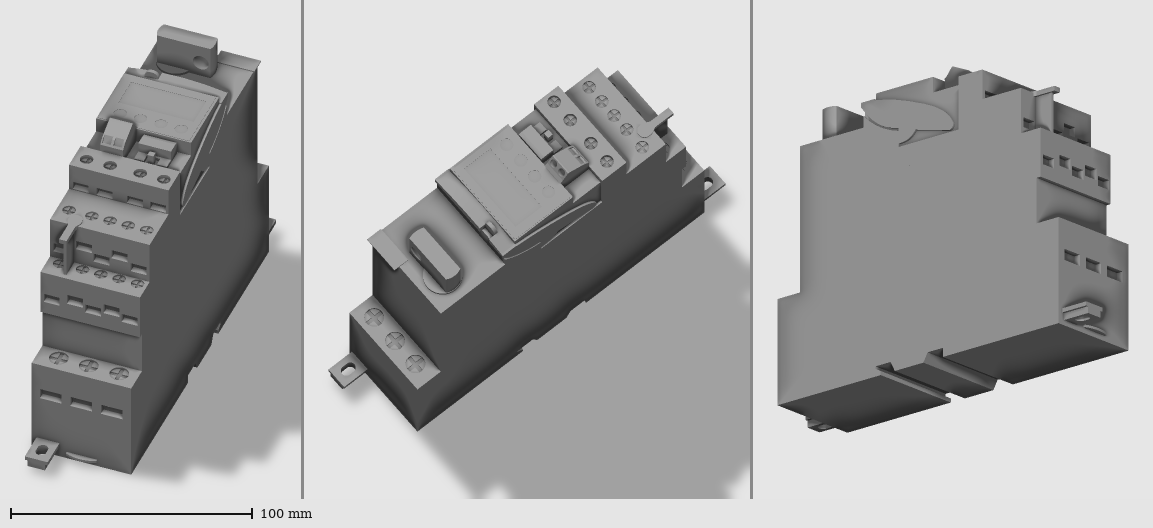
import cadquery as cq


WIDTH = 44.35
TOTAL_LENGTH = 179.5
TOTAL_HEIGHT = 130.61
EPS = 0.01

FOOT_FRONT_Y = 13.2
FOOT_REAR_Y = 166.9
FOOT_TOP_Z = 46.7
WALL_FRONT_Y = 25.2
WALL_REAR_Y = 154.4
BASE_TOP_Z = 111.0
SEAM_Z = 88.3

MODULE_FRONT_Y = 33.8
MODULE_REAR_Y = 119.9
LOW_TIER_Z = 108.3
HIGH_TIER_Y = 54.9
HIGH_TIER_Z = 121.3
SHELF_Y = 67.9
SHELF_Z = 118.0
DISPLAY_FRONT_Y = 82.7
DISPLAY_REAR_Y = 113.9
DISPLAY_TOP_Z = 125.1
BAIL_THICK = 1.05
BAIL_REAR_Y = 121.1
BAIL_CLEARANCE = 0.2
BAIL_EDGE_Z = 122.2
BAIL_CROWN_Z = 124.1
BAIL_UNDER_Z = 120.0
POCKET_FLOOR_Z = 98.0
POCKET_STEP_Y = 100.8

BLOCK_FRONT_Y = 23.0
BLOCK_BOTTOM_Z = 66.7


def box(x0, x1, y0, y1, z0, z1):
    """Box between opposite corners."""
    return cq.Workplane("XY").box(x1 - x0, y1 - y0, z1 - z0, centered=False).translate((x0, y0, z0))


def side_plane(x):
    """Sketch plane whose local axes are the part's Y and Z, extruding toward +X."""
    return cq.Workplane("YZ", origin=(x, 0, 0))


def side_prism(points, x0, x1):
    """Outline in Y and Z, extruded across the width from x0 to x1."""
    return side_plane(x0).polyline(points).close().extrude(x1 - x0)


def post(x, y, z0, z1, radius):
    """Upright cylinder."""
    return cq.Workplane("XY", origin=(x, y, z0)).circle(radius).extrude(z1 - z0)


def cut_screws(body, places, top_z, radius, slot_width, depth):
    """Sink round screw recesses into a top face, each with a cross slot in its floor."""
    for x, y in places:
        floor_z = top_z - depth
        slot_floor_z = floor_z - CROSS_SLOT_DEPTH
        body = body.cut(post(x, y, floor_z, top_z + EPS, radius))
        screw = post(x, y, slot_floor_z, floor_z, radius)
        half = slot_width / 2
        bars = box(x - half, x + half, y - radius, y + radius, slot_floor_z, floor_z)
        bars = bars.union(box(x - radius, x + radius, y - half, y + half, slot_floor_z, floor_z))
        body = body.cut(screw.intersect(bars))
    return body


def cut_windows(body, front_y, left_edges, width, z0, z1, depth):
    """Cut rectangular wire openings into a front face."""
    for x in left_edges:
        body = body.cut(box(x, x + width, front_y - EPS, front_y + depth, z0, z1))
    return body


CROSS_SLOT_DEPTH = 0.6
SMALL_SCREW_RADIUS = 2.8
SMALL_SLOT_WIDTH = 1.0
SMALL_SCREW_DEPTH = 0.8
HIGH_TIER_SCREW_DEPTH = 1.8
WINDOW_DEPTH = 3.0
WINDOW_WIDTH = 7.1


RAIL_HOOK = [(110.4, -EPS), (110.4, 1.8), (113.2, 3.4), (113.2, 4.5), (105.0, 4.5), (102.7, -EPS)]
RAIL_CLIP = [(87.1, -EPS), (84.8, 4.0), (76.5, 4.0), (76.5, -EPS)]
RAIL_LATCH = [(76.5, 0.6), (76.5, 4.0), (79.0, 4.0)]

MAIN_SCREW_X = (9.3, 22.6, 36.2)
MAIN_SCREW_Y = (20.2, 160.3)
MAIN_SCREW_RADIUS = 4.1
MAIN_SLOT_WIDTH = 1.7
MAIN_WINDOW_X = (3.7, 17.2, 30.8)
MAIN_WINDOW_WIDTH = 9.7
MAIN_WINDOW_Z = (28.8, 33.7)

TAB_WIDTH = 10.2
TAB_STEM_WIDTH = 7.7
TAB_X = (7.3, 37.5)
TAB_Z = (2.3, 5.3, 7.1)
TAB_SLOT_Y = 6.4
TAB_SLOT_LENGTH = 6.7
TAB_SLOT_WIDTH = 4.5

CLIP_X = (15.6, 29.2)
CLIP_Z = (2.3, 3.4)
CLIP_SHOULDER_Y = 12.2
CLIP_TIP_Y = 10.8

KNOB_X = 12.4
KNOB_Y = 143.2
KNOB_RADIUS = 8.2
KNOB_DISC_Z = 112.1
HANDLE_ROUND = 7.9
HANDLE_END_X = 29.3
HANDLE_BULGE = 0.7
HANDLE_Y = (139.4, 147.1)
HANDLE_TOP_Z = 126.7
HANDLE_HOLE_X = 25.0
HANDLE_HOLE_Z = 118.0
HANDLE_HOLE_RADIUS = 3.5

PLATE_X = (27.0, 44.8)
PLATE_Y = (149.6, 157.0)
PLATE_THICK = 0.5


def mounting_tab(body, x, end_y, wall_y):
    """Add one slotted T-section tab that runs out of the foot to end_y."""
    inward = 1 if wall_y > end_y else -1
    under_z, flange_z, top_z = TAB_Z
    tab_y = sorted((end_y, wall_y))
    tab = box(x - TAB_STEM_WIDTH / 2, x + TAB_STEM_WIDTH / 2, *tab_y, under_z, flange_z)
    tab = tab.union(box(x - TAB_WIDTH / 2, x + TAB_WIDTH / 2, *tab_y, flange_z, top_z))
    slot = (
        cq.Workplane("XY", origin=(x, end_y + inward * TAB_SLOT_Y, under_z))
        .slot2D(TAB_SLOT_LENGTH, TAB_SLOT_WIDTH, 90)
        .extrude(top_z - under_z)
    )
    return body.union(tab.cut(slot))


def rotary_knob():
    """Disc with an upright grip: one end rounded about the disc centre, the other bulges slightly."""
    disc = post(KNOB_X, KNOB_Y, BASE_TOP_Z, KNOB_DISC_Z, KNOB_RADIUS)
    y0, y1 = HANDLE_Y
    mid_y = (y0 + y1) / 2
    grip = (
        cq.Workplane("XY", origin=(0, 0, BASE_TOP_Z))
        .moveTo(KNOB_X, y0)
        .lineTo(HANDLE_END_X, y0)
        .threePointArc((HANDLE_END_X + HANDLE_BULGE, mid_y), (HANDLE_END_X, y1))
        .lineTo(KNOB_X - HANDLE_ROUND, y1)
        .lineTo(KNOB_X - HANDLE_ROUND, y0)
        .close()
        .extrude(HANDLE_TOP_Z - BASE_TOP_Z)
    )
    past_disc = box(KNOB_X, HANDLE_END_X + HANDLE_BULGE, y0, y1, BASE_TOP_Z, HANDLE_TOP_Z)
    rounded = post(KNOB_X, KNOB_Y, BASE_TOP_Z, HANDLE_TOP_Z, HANDLE_ROUND).union(past_disc)
    hole = (
        cq.Workplane("XZ", origin=(HANDLE_HOLE_X, y1, HANDLE_HOLE_Z))
        .circle(HANDLE_HOLE_RADIUS)
        .extrude(y1 - y0)
    )
    return disc.union(grip.intersect(rounded).cut(hole))


def rail_clip_tongue():
    """Thin round-ended tongue that sticks out of the front of the foot."""
    x0, x1 = CLIP_X
    return (
        cq.Workplane("XY", origin=(0, 0, CLIP_Z[0]))
        .moveTo(x0, FOOT_FRONT_Y)
        .lineTo(x0, CLIP_SHOULDER_Y)
        .threePointArc(((x0 + x1) / 2, CLIP_TIP_Y), (x1, CLIP_SHOULDER_Y))
        .lineTo(x1, FOOT_FRONT_Y)
        .close()
        .extrude(CLIP_Z[1] - CLIP_Z[0])
    )


def make_power_base():
    outline = [
        (FOOT_FRONT_Y, 0),
        (FOOT_FRONT_Y, FOOT_TOP_Z),
        (WALL_FRONT_Y, FOOT_TOP_Z),
        (WALL_FRONT_Y, BLOCK_BOTTOM_Z),
        (MODULE_FRONT_Y, BLOCK_BOTTOM_Z),
        (MODULE_FRONT_Y, SEAM_Z),
        (MODULE_REAR_Y, SEAM_Z),
        (MODULE_REAR_Y, BASE_TOP_Z),
        (WALL_REAR_Y, BASE_TOP_Z),
        (WALL_REAR_Y, FOOT_TOP_Z),
        (FOOT_REAR_Y, FOOT_TOP_Z),
        (FOOT_REAR_Y, 0),
    ]
    base = side_prism(outline, 0, WIDTH)
    for cutout in (RAIL_HOOK, RAIL_CLIP):
        base = base.cut(side_prism(cutout, 0, WIDTH))
    base = base.union(side_prism(RAIL_LATCH, *CLIP_X)).union(rail_clip_tongue())
    base = mounting_tab(base, TAB_X[0], 0, FOOT_FRONT_Y)
    base = mounting_tab(base, TAB_X[1], TOTAL_LENGTH, FOOT_REAR_Y)
    screws = [(x, y) for x in MAIN_SCREW_X for y in MAIN_SCREW_Y]
    base = cut_screws(base, screws, FOOT_TOP_Z, MAIN_SCREW_RADIUS, MAIN_SLOT_WIDTH, SMALL_SCREW_DEPTH)
    base = cut_windows(base, FOOT_FRONT_Y, MAIN_WINDOW_X, MAIN_WINDOW_WIDTH, *MAIN_WINDOW_Z, WINDOW_DEPTH)
    base = base.union(rotary_knob())
    return base.union(box(*PLATE_X, *PLATE_Y, BASE_TOP_Z, BASE_TOP_Z + PLATE_THICK))



RIM_FOOT_Z = 105.1
RIM_MIDDLE = (112.0, 109.8)
RIM_TOP_Z = 116.2

ARM_HEEL = (119.4, 118.0)
ARM_REAR_MIDDLE = (112.0, 110.9)
ARM_STEP_Z = (106.3, 99.5)
ARM_TOE = (98.5, 99.6)
ARM_LOWER_CURVE = [(95.5, 100.2), (91.4, 103.4)]
ARM_TIP = [(73.2, 98.9), (71.2, 99.9), (71.1, 102.2)]
ARM_UPPER_CURVE = [(74.3, 106.6), (79.3, 110.2), (91.0, 115.4), (103.2, 119.4), (DISPLAY_REAR_Y, 121.6)]

PANEL_X = (1.6, 42.2)
PANEL_Y = (83.3, 113.3)
PANEL_HEIGHT = 0.2
SCREEN_X = (5.9, 39.4)
SCREEN_Y = (95.4, 109.5)
BUTTON_X = (9.2, 18.2, 27.3, 36.4)
BUTTON_Y = 89.1
BUTTON_RADIUS = 2.75
ENGRAVING = 0.15

NOTCH_X = (9.1, 15.1)
NOTCH_FRONT_Y = 116.5
TONGUE_REAR_Y = 118.2
TONGUE_TOP_Z = 126.7
TONGUE_ROUND = 2.6

PLUG_X = (8.7, 18.9)
PLUG_REAR_SLOPE = ((79.0, TOTAL_HEIGHT), (81.8, 127.1))
PLUG_PROFILE = [
    (SHELF_Y, SHELF_Z),
    (SHELF_Y, 124.7),
    (70.2, 127.0),
    (77.6, 130.2),
    (78.4, TOTAL_HEIGHT),
    *PLUG_REAR_SLOPE,
    (83.2, 126.0),
    (DISPLAY_FRONT_Y, 125.4),
    (DISPLAY_FRONT_Y, SHELF_Z),
]
PLUG_PORT_X = (9.3, 14.3)
PLUG_PORT_WIDTH = 3.8
PLUG_PORT_PROFILE = [
    (68.5, 124.8),
    (69.4, 124.8),
    (71.6, 127.7),
    (71.6, TOTAL_HEIGHT),
    (68.5, TOTAL_HEIGHT),
]
PLUG_SCREW_X = (11.3, 16.4)
PLUG_SCREW_RADIUS = 1.8
PLUG_SCREW_DEPTH = 2.0

SOCKET_X = (22.7, 37.3)
SOCKET_Y = (70.6, 75.4, 80.3, 81.9)
SOCKET_BASE_Z = 119.5
SOCKET_TOP_Z = 124.0
SOCKET_REAR_DROP = 0.4
SOCKET_NOTCH_X = (27.0, 32.9)
SOCKET_NOTCH_REAR_Y = 74.4
SOCKET_POST_X = (28.5, 31.2)
SOCKET_POST_Y = (70.9, 73.4)
SOCKET_POST_TOP_Z = 123.0

HIGH_TIER_SCREWS_X = (5.5, 16.0, 29.4, 39.9)
HIGH_TIER_SCREW_Y = 60.8
HIGH_TIER_WINDOWS_X = (1.7, 12.3, 25.8, 36.1)
HIGH_TIER_WINDOW_Z = (108.8, 112.6)
LOW_TIER_SCREWS_X = (5.1, 15.3, 23.4, 31.5, 39.7)
LOW_TIER_SCREW_Y = 42.2
LOWER_ROW_X = (1.5, 19.3, 35.9)
LOWER_ROW_Z = (91.5, 95.8)
UPPER_ROW_X = (11.5, 27.3)
UPPER_ROW_Z = (95.8, 100.2)


def module_blank():
    """Tiered block whose upper sides step in behind a curved rim to make room for the bail."""
    tiers = [
        (MODULE_FRONT_Y, SEAM_Z),
        (MODULE_FRONT_Y, LOW_TIER_Z),
        (HIGH_TIER_Y, LOW_TIER_Z),
        (HIGH_TIER_Y, HIGH_TIER_Z),
        (SHELF_Y, HIGH_TIER_Z),
    ]
    full_width = (
        side_plane(0)
        .polyline(tiers)
        .lineTo(SHELF_Y, POCKET_FLOOR_Z)
        .lineTo(POCKET_STEP_Y, POCKET_FLOOR_Z)
        .lineTo(POCKET_STEP_Y, RIM_FOOT_Z)
        .threePointArc(RIM_MIDDLE, (MODULE_REAR_Y, RIM_TOP_Z))
        .lineTo(MODULE_REAR_Y, SEAM_Z)
        .close()
        .extrude(WIDTH)
    )
    rim_z = DISPLAY_TOP_Z - PANEL_HEIGHT
    core_outline = tiers + [
        (SHELF_Y, SHELF_Z),
        (DISPLAY_FRONT_Y, SHELF_Z),
        (DISPLAY_FRONT_Y, rim_z),
        (DISPLAY_REAR_Y, rim_z),
        (DISPLAY_REAR_Y, BAIL_UNDER_Z),
        (MODULE_REAR_Y, BAIL_UNDER_Z),
        (MODULE_REAR_Y, SEAM_Z),
    ]
    core = side_prism(core_outline, BAIL_THICK, WIDTH - BAIL_THICK)
    panel = box(*PANEL_X, *PANEL_Y, rim_z, DISPLAY_TOP_Z)
    return full_width.union(core).union(panel)


def bail_arm(x):
    """Leaf-shaped side arm of the bail, filling the side recess at x."""
    arm_step_y = POCKET_STEP_Y - BAIL_CLEARANCE
    step_top_z, step_foot_z = ARM_STEP_Z
    tip_start, tip_middle, tip_end = ARM_TIP
    return (
        side_plane(x)
        .moveTo(BAIL_REAR_Y, BAIL_EDGE_Z)
        .lineTo(BAIL_REAR_Y, BAIL_UNDER_Z)
        .lineTo(*ARM_HEEL)
        .threePointArc(ARM_REAR_MIDDLE, (arm_step_y, step_top_z))
        .lineTo(arm_step_y, step_foot_z)
        .lineTo(*ARM_TOE)
        .spline(ARM_LOWER_CURVE, includeCurrent=True)
        .lineTo(*tip_start)
        .threePointArc(tip_middle, tip_end)
        .spline(ARM_UPPER_CURVE, includeCurrent=True)
        .lineTo(DISPLAY_REAR_Y, BAIL_EDGE_Z)
        .close()
        .extrude(BAIL_THICK)
    )


def bail_crossbar():
    """Crowned bar that joins the two arms behind the display."""
    bar = (
        cq.Workplane("XZ", origin=(0, BAIL_REAR_Y, 0))
        .moveTo(BAIL_THICK, BAIL_UNDER_Z)
        .lineTo(BAIL_THICK, BAIL_EDGE_Z)
        .threePointArc((WIDTH / 2, BAIL_CROWN_Z), (WIDTH - BAIL_THICK, BAIL_EDGE_Z))
        .lineTo(WIDTH - BAIL_THICK, BAIL_UNDER_Z)
        .close()
        .extrude(BAIL_REAR_Y - DISPLAY_REAR_Y)
    )
    return bar.cut(box(*NOTCH_X, NOTCH_FRONT_Y, BAIL_REAR_Y, BAIL_UNDER_Z, BAIL_CROWN_Z))


def bail_tongue():
    """Round-topped upright tongue standing in the crossbar notch."""
    tongue = box(*NOTCH_X, NOTCH_FRONT_Y, TONGUE_REAR_Y, BAIL_UNDER_Z, TONGUE_TOP_Z)
    return tongue.edges("|Y and >Z").fillet(TONGUE_ROUND)


def terminal_plug():
    """Two-pole plug with wire ports in its front slope and screw wells in its rear slope."""
    plug = side_prism(PLUG_PROFILE, *PLUG_X)
    for x in PLUG_PORT_X:
        plug = plug.cut(side_prism(PLUG_PORT_PROFILE, x, x + PLUG_PORT_WIDTH))
    (ridge_y, ridge_z), (eave_y, eave_z) = PLUG_REAR_SLOPE
    outward = (0, ridge_z - eave_z, eave_y - ridge_y)
    for x in PLUG_SCREW_X:
        middle = (x, (ridge_y + eave_y) / 2, (ridge_z + eave_z) / 2)
        slope = cq.Workplane(cq.Plane(origin=middle, xDir=(1, 0, 0), normal=outward))
        plug = plug.cut(slope.circle(PLUG_SCREW_RADIUS).extrude(-PLUG_SCREW_DEPTH))
    return plug


def socket_cover():
    """Stepped block on the shelf, notched at the front around a small post."""
    front_y, step_y, slope_y, rear_y = SOCKET_Y
    cover = box(*SOCKET_X, front_y, step_y, SHELF_Z, SOCKET_BASE_Z)
    roof = [
        (step_y, SHELF_Z),
        (step_y, SOCKET_TOP_Z),
        (slope_y, SOCKET_TOP_Z),
        (rear_y, SOCKET_TOP_Z - SOCKET_REAR_DROP),
        (rear_y, SHELF_Z),
    ]
    cover = cover.union(side_prism(roof, *SOCKET_X))
    cover = cover.cut(box(*SOCKET_NOTCH_X, front_y, SOCKET_NOTCH_REAR_Y, SHELF_Z, SOCKET_BASE_Z))
    return cover.union(box(*SOCKET_POST_X, *SOCKET_POST_Y, SHELF_Z, SOCKET_POST_TOP_Z))


def make_control_module():
    module = module_blank()
    for x in (0, WIDTH - BAIL_THICK):
        module = module.union(bail_arm(x))
    module = module.union(bail_crossbar()).union(bail_tongue())
    module = module.union(terminal_plug()).union(socket_cover())

    engraving_z = DISPLAY_TOP_Z - ENGRAVING
    module = module.cut(box(*SCREEN_X, *SCREEN_Y, engraving_z, DISPLAY_TOP_Z))
    for x in BUTTON_X:
        module = module.cut(post(x, BUTTON_Y, engraving_z, DISPLAY_TOP_Z, BUTTON_RADIUS))

    high_screws = [(x, HIGH_TIER_SCREW_Y) for x in HIGH_TIER_SCREWS_X]
    module = cut_screws(module, high_screws, HIGH_TIER_Z, SMALL_SCREW_RADIUS, SMALL_SLOT_WIDTH,
                        HIGH_TIER_SCREW_DEPTH)
    low_screws = [(x, LOW_TIER_SCREW_Y) for x in LOW_TIER_SCREWS_X]
    module = cut_screws(module, low_screws, LOW_TIER_Z, SMALL_SCREW_RADIUS, SMALL_SLOT_WIDTH,
                        SMALL_SCREW_DEPTH)
    module = cut_windows(module, HIGH_TIER_Y, HIGH_TIER_WINDOWS_X, WINDOW_WIDTH, *HIGH_TIER_WINDOW_Z,
                         WINDOW_DEPTH)
    module = cut_windows(module, MODULE_FRONT_Y, LOWER_ROW_X, WINDOW_WIDTH, *LOWER_ROW_Z, WINDOW_DEPTH)
    return cut_windows(module, MODULE_FRONT_Y, UPPER_ROW_X, WINDOW_WIDTH, *UPPER_ROW_Z, WINDOW_DEPTH)



BLOCK_SCREWS_X = (5.5, 15.6, 23.8, 31.9, 40.1)
BLOCK_SCREW_Y = 30.9
BLOCK_LOWER_X = (1.5, 19.9, 36.2)
BLOCK_LOWER_Z = (72.6, 76.9)
BLOCK_UPPER_X = (11.8, 28.1)
BLOCK_UPPER_Z = (74.8, 79.6)

LEVER_X = 10.1
LEVER_TOP_Z = 108.9
LEVER_UNDER_Z = 106.8
LEVER_HEAD_Y = 36.9
LEVER_HEAD_RADIUS = 3.0
LEVER_HEAD_FRONT_Y = 35.3
LEVER_NECK_Y = 32.6
LEVER_NECK_HALF = 1.65
LEVER_FRONT_Y = 22.7
LEVER_WEB_HALF = 0.6


def release_lever():
    """Upright web with a round-headed finger plate that lies on the module's low tier."""
    web = box(LEVER_X - LEVER_WEB_HALF, LEVER_X + LEVER_WEB_HALF, WALL_FRONT_Y, MODULE_FRONT_Y,
              SEAM_Z, LEVER_UNDER_Z)
    plate = (
        cq.Workplane("XY", origin=(LEVER_X, 0, LEVER_UNDER_Z))
        .moveTo(-LEVER_NECK_HALF, LEVER_FRONT_Y)
        .lineTo(-LEVER_NECK_HALF, LEVER_NECK_Y)
        .lineTo(-LEVER_HEAD_RADIUS, LEVER_HEAD_FRONT_Y)
        .lineTo(-LEVER_HEAD_RADIUS, LEVER_HEAD_Y)
        .threePointArc((0, LEVER_HEAD_Y + LEVER_HEAD_RADIUS), (LEVER_HEAD_RADIUS, LEVER_HEAD_Y))
        .lineTo(LEVER_HEAD_RADIUS, LEVER_HEAD_FRONT_Y)
        .lineTo(LEVER_NECK_HALF, LEVER_NECK_Y)
        .lineTo(LEVER_NECK_HALF, LEVER_FRONT_Y)
        .close()
        .extrude(LEVER_TOP_Z - LEVER_UNDER_Z)
    )
    tier = box(0, WIDTH, MODULE_FRONT_Y, HIGH_TIER_Y, SEAM_Z, LOW_TIER_Z)
    return web.union(plate.cut(tier))


def make_terminal_block():
    block = box(0, WIDTH, BLOCK_FRONT_Y, MODULE_FRONT_Y, BLOCK_BOTTOM_Z, SEAM_Z)
    screws = [(x, BLOCK_SCREW_Y) for x in BLOCK_SCREWS_X]
    block = cut_screws(block, screws, SEAM_Z, SMALL_SCREW_RADIUS, SMALL_SLOT_WIDTH, SMALL_SCREW_DEPTH)
    block = cut_windows(block, BLOCK_FRONT_Y, BLOCK_LOWER_X, WINDOW_WIDTH, *BLOCK_LOWER_Z, WINDOW_DEPTH)
    block = cut_windows(block, BLOCK_FRONT_Y, BLOCK_UPPER_X, WINDOW_WIDTH, *BLOCK_UPPER_Z, WINDOW_DEPTH)
    return block.union(release_lever())


power_base = make_power_base()
control_module = make_control_module()
terminal_block = make_terminal_block()

result = cq.Compound.makeCompound([
    power_base.val(),
    control_module.val(),
    terminal_block.val(),
])